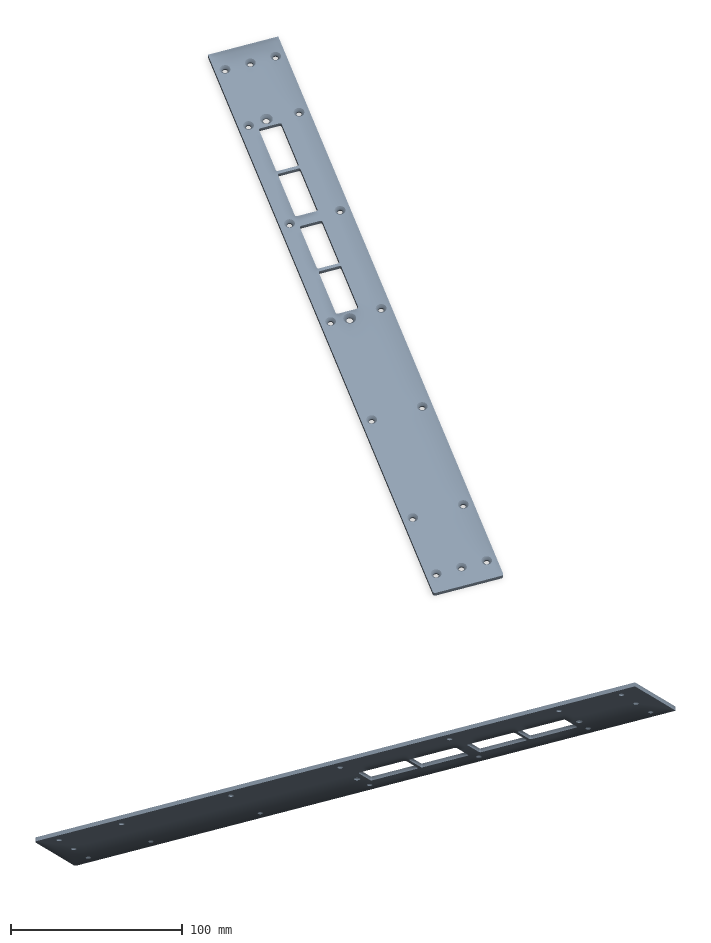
import cadquery as cq

length = 419.0
width = 43.0
thickness = 2.5
corner_radius = 1.5

fixing_diameter = 3.23
fixing_head_diameter = 6.3
column_pitch = 76.3
column_count = 5
end_column_x = 196.0
row_y = 15.5

window_length = 33.0
window_height = 14.0
window_corner_radius = 1.0
window_pitch = 35.0
pair_pitch = 76.0
window_group_x = -column_pitch
window_y = -3.8

mount_diameter = 3.9
mount_head_diameter = 7.5
mount_spacing = 155.0
mount_y = -4.0

countersink_angle = 90


def drill_countersunk(body, points, diameter, head_diameter):
    """Drill through holes that are countersunk from the top face."""
    top = body.faces(">Z").workplane(origin=(0, 0, thickness / 2))
    return top.pushPoints(points).cskHole(diameter, head_diameter, countersink_angle)


plate = cq.Workplane("XY").box(length, width, thickness)
plate = plate.edges("|Z and >X").fillet(corner_radius)

window_points = [
    (window_group_x + pair_side * pair_pitch / 2 + window_side * window_pitch / 2, window_y)
    for pair_side in (-1, 1)
    for window_side in (-1, 1)
]
windows = cq.Workplane("XY").pushPoints(window_points).box(window_length, window_height, 2 * thickness)
windows = windows.edges("|Z").fillet(window_corner_radius)
plate = plate.cut(windows)

column_xs = [(index - (column_count - 1) / 2) * column_pitch for index in range(column_count)]
fixing_points = [(x, y) for x in column_xs for y in (-row_y, row_y)]
fixing_points += [(x, y) for x in (-end_column_x, end_column_x) for y in (-row_y, 0, row_y)]
plate = drill_countersunk(plate, fixing_points, fixing_diameter, fixing_head_diameter)

mount_points = [(window_group_x + side * mount_spacing / 2, mount_y) for side in (-1, 1)]
plate = drill_countersunk(plate, mount_points, mount_diameter, mount_head_diameter)

result = plate